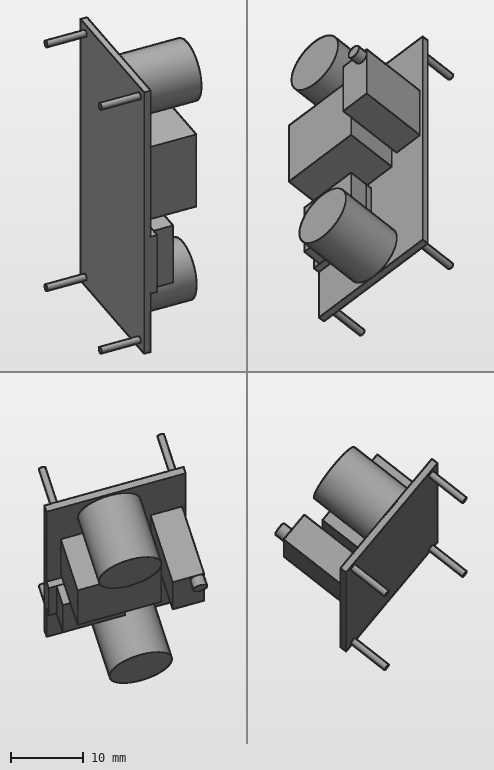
import cadquery as cq


board_width = 20.0
board_height = 43.5
board_thickness = 1.0
pin_diameter = 1.0
pin_length = 6.0
pin_inset = 1.5

capacitor_diameter = 9.0
capacitor_length = 10.0
lower_capacitor_center = (9.5, capacitor_diameter / 2)
upper_capacitor_center = (11.0, 38.55)

inductor_side = 12.0
inductor_rise = 8.0
inductor_left = 5.95
inductor_bottom = 20.58

trimmer_width = 4.52
trimmer_height = 9.5
trimmer_rise = 10.5
trimmer_left = 0.52
trimmer_bottom = 22.8
screw_diameter = 2.0
screw_length = 1.52

regulator_width = 9.0
regulator_height = 9.5
regulator_rise = 4.0
regulator_bottom = 9.7
base_thickness = 1.0
base_overhang = 1.15
base_width = regulator_width + base_overhang
regulator_left = board_width - base_width


def block(left, bottom, start, width, height, rise):
    """Box with its corner at (left, start, bottom), rising along +Y."""
    return cq.Workplane("XY").box(width, rise, height, centered=False).translate((left, start, bottom))


def rod(center, start, diameter, length):
    """Cylinder along +Y, with center as the X and Z of its axis."""
    x, z = center
    return cq.Workplane(cq.Solid.makeCylinder(diameter / 2, length, cq.Vector(x, start, z), cq.Vector(0, 1, 0)))


def make_trimmer():
    housing = block(trimmer_left, trimmer_bottom, 0, trimmer_width, trimmer_height, trimmer_rise)
    screw_radius = screw_diameter / 2
    screw_center = (trimmer_left + screw_radius, trimmer_bottom + trimmer_height - screw_radius)
    return housing.union(rod(screw_center, trimmer_rise, screw_diameter, screw_length))


def make_board_assembly():
    """Board in one piece with its pins, capacitors, inductor, trimmer and regulator base."""
    board = block(0, 0, -board_thickness, board_width, board_height, board_thickness)
    for x in (pin_inset, board_width - pin_inset):
        for z in (pin_inset, board_height - pin_inset):
            board = board.union(rod((x, z), -board_thickness - pin_length, pin_diameter, pin_length))
    for center in (lower_capacitor_center, upper_capacitor_center):
        board = board.union(rod(center, 0, capacitor_diameter, capacitor_length))
    board = board.union(
        block(inductor_left, inductor_bottom, 0, inductor_side, inductor_side, inductor_rise)
    )
    board = board.union(make_trimmer())
    return board.union(
        block(regulator_left, regulator_bottom, 0, base_width, regulator_height, base_thickness)
    )


def make_regulator_body():
    """Plain block on the base plate, flush with the plate's left end."""
    return block(
        regulator_left,
        regulator_bottom,
        base_thickness,
        regulator_width,
        regulator_height,
        regulator_rise - base_thickness,
    )


board_assembly = make_board_assembly()
regulator_body = make_regulator_body()

result = cq.Compound.makeCompound([board_assembly.solids().val(), regulator_body.val()])